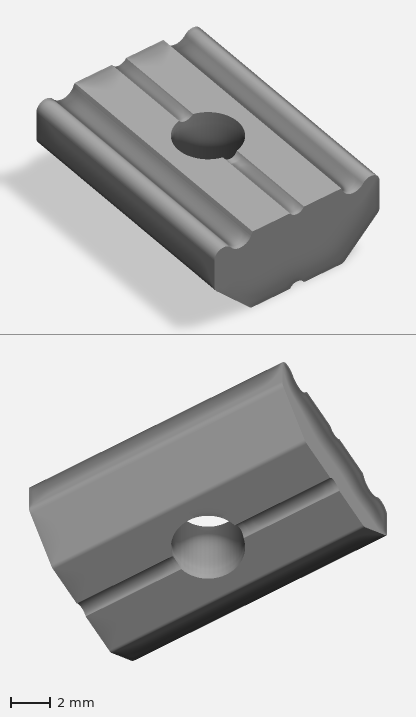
import cadquery as cq
import math

length = 15.0
width = 10.6
height = 5.0
half_width = width / 2
half_height = height / 2
bore_diameter = 3.8

rail_radius = 0.58
rail_drop = 0.12
rail_center_y = half_width - rail_radius
rail_center_z = half_height - rail_drop - rail_radius

rail_arc_end_angle = math.radians(143)
channel_outer_y = rail_center_y + rail_radius * math.cos(rail_arc_end_angle)
channel_outer_z = rail_center_z + rail_radius * math.sin(rail_arc_end_angle)
channel_bottom_y = 3.58
channel_depth = 0.68
channel_inner_y = 2.95
channel_lip_depth = 0.24
top_half_width = 2.85

flank_size = 2.34
flank_upper_radius = 0.5
flank_lower_radius = 0.3

groove_half_width = 0.45
groove_depth = 0.27


def make_half_profile():
    """Half of the YZ section, on the +Y side of the middle plane."""
    flank_top_z = flank_size - half_height
    flank_bottom_y = half_width - flank_size
    crest_angle = rail_arc_end_angle / 2
    crest = (
        rail_center_y + rail_radius * math.cos(crest_angle),
        rail_center_z + rail_radius * math.sin(crest_angle),
    )
    return (
        cq.Workplane("YZ", origin=(-length / 2, 0, 0))
        .moveTo(0, -half_height)
        .lineTo(flank_bottom_y, -half_height)
        .lineTo(half_width, flank_top_z)
        .lineTo(half_width, rail_center_z)
        .threePointArc(crest, (channel_outer_y, channel_outer_z))
        .threePointArc(
            (channel_bottom_y, half_height - channel_depth),
            (channel_inner_y, half_height - channel_lip_depth),
        )
        .lineTo(top_half_width, half_height)
        .lineTo(0, half_height)
        .close()
    )


def round_edge(solid, y, z, radius):
    """Round the lengthwise edge through the point (y, z)."""
    edge = cq.selectors.NearestToPointSelector((0, y, z))
    return solid.edges("|X").edges(edge).fillet(radius)


def make_body():
    half = make_half_profile().extrude(length)
    half = round_edge(half, half_width, flank_size - half_height, flank_upper_radius)
    half = round_edge(half, half_width - flank_size, -half_height, flank_lower_radius)
    return half.union(half.mirror("XZ"))


def make_groove(side):
    """Groove cutter for the top face (side = 1) or bottom face (side = -1)."""
    face_z = side * half_height
    return (
        cq.Workplane("YZ", origin=(-length / 2, 0, 0))
        .moveTo(-groove_half_width, face_z)
        .threePointArc((0, face_z - side * groove_depth), (groove_half_width, face_z))
        .close()
        .extrude(length)
    )


body = make_body()
for side in (1, -1):
    body = body.cut(make_groove(side))

bore = cq.Workplane("XY").circle(bore_diameter / 2).extrude(half_height, both=True)
result = body.cut(bore)